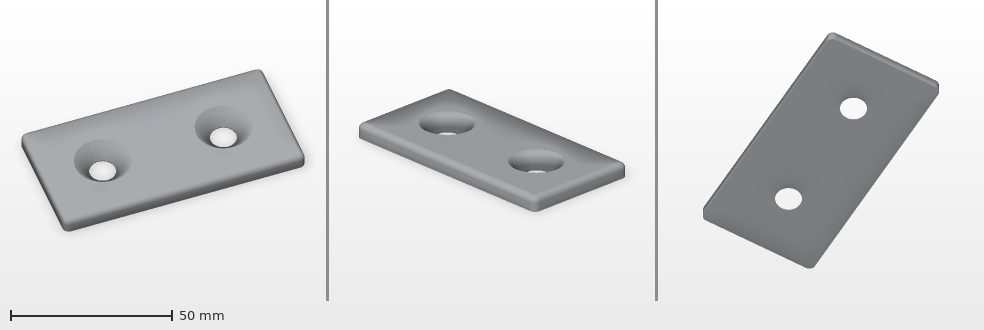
import cadquery as cq

width = 40.0
length = 80.0
thickness = 5.0
edge_radius = 2.0

hole_diameter = 8.4
countersink_diameter = 17.8
countersink_angle = 90.0
hole_spacing = length / 2


def rounded_plate():
    """Flat plate on Z = 0 with rounded corners and a rounded top rim."""
    plate = cq.Workplane("XY").box(width, length, thickness, centered=(True, True, False))
    return plate.edges("|Z or >Z").fillet(edge_radius)


def add_screw_holes(plate):
    """Two through holes on the long centre line, countersunk from the top."""
    return (
        plate.faces(">Z")
        .workplane(origin=(0, 0, thickness))
        .rarray(1, hole_spacing, 1, 2)
        .cskHole(hole_diameter, countersink_diameter, countersink_angle)
    )


result = add_screw_holes(rounded_plate())